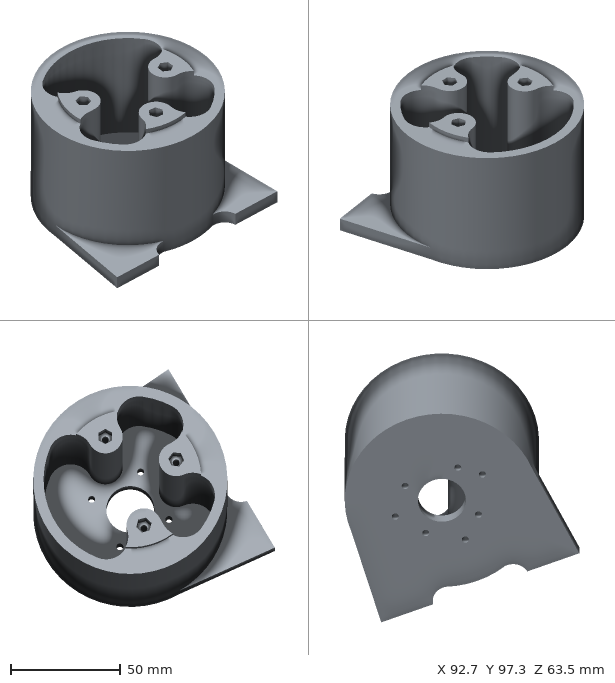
import cadquery as cq
import math

body_radius = 44.45
body_height = 60.96
flange_thickness = 6.35
flange_reach = 48.26
flange_flare_angle = 5.0

notch_width = 46.4
notch_inner_x = 41.91
notch_corner_radius = 7.4

cavity_radius = 39.7
cavity_round = 10.16
floor_thickness = 6.35

post_radius = 7.94
post_circle_radius = 22.86
post_rise = 2.54
post_cap_radius = 32.5
first_post_angle = 90.0
second_post_angle = -6.75
third_post_angle = -104.2
x_direction = 0.0
minus_y_direction = -90.0
posts = [
    (first_post_angle, first_post_angle, first_post_angle),
    (second_post_angle, second_post_angle, x_direction),
    (third_post_angle, third_post_angle, minus_y_direction),
]
screw_hole_diameter = 3.175
nut_corner_diameter = 7.25
nut_pocket_depth = 6.35

bore_diameter = 22.0
mount_hole_offset = 12.95
mount_hole_diameter = 3.175

overall_height = body_height + post_rise
tolerance = 0.01


def polar(radius, angle):
    """Point at a radius and an angle in degrees."""
    return (radius * math.cos(math.radians(angle)), radius * math.sin(math.radians(angle)))


def shifted(point, radius, angle):
    """Point moved by a distance along an angle in degrees."""
    dx, dy = polar(radius, angle)
    return (point[0] + dx, point[1] + dy)


def make_flange():
    """Flaring plate along one side of the body, with a round-cornered notch in its free edge."""
    half_width = body_radius + flange_reach * math.tan(math.radians(flange_flare_angle))
    plate = (
        cq.Workplane("XY")
        .polyline([
            (0, -body_radius),
            (flange_reach, -half_width),
            (flange_reach, half_width),
            (0, body_radius),
        ])
        .close()
        .extrude(flange_thickness)
    )
    notch_length = flange_reach - notch_inner_x + 2 * notch_corner_radius
    notch = (
        cq.Workplane("XY")
        .center(notch_inner_x + notch_length / 2, 0)
        .rect(notch_length, notch_width)
        .extrude(flange_thickness)
        .edges("|Z")
        .fillet(notch_corner_radius)
    )
    return plate.cut(notch)


def make_post(post_angle, clockwise_side, counterclockwise_side):
    """Round-nosed post whose two sides run outward past the cavity wall."""
    center = polar(post_circle_radius, post_angle)
    clockwise_start = shifted(center, post_radius, clockwise_side - 90)
    counterclockwise_start = shifted(center, post_radius, counterclockwise_side + 90)
    nose = shifted(center, post_radius, post_angle + 180)
    return (
        cq.Workplane("XY")
        .moveTo(*shifted(clockwise_start, cavity_radius, clockwise_side))
        .lineTo(*clockwise_start)
        .threePointArc(nose, counterclockwise_start)
        .lineTo(*shifted(counterclockwise_start, cavity_radius, counterclockwise_side))
        .close()
        .extrude(overall_height)
    )


def make_cavity():
    """Solid filling the cavity: a disc cut by the posts, with its corners at the wall rounded."""
    cavity = cq.Workplane("XY").circle(cavity_radius).extrude(overall_height)
    for post in posts:
        cavity = cavity.cut(make_post(*post))
    wall_corners = [
        edge for edge in cavity.edges("|Z").vals()
        if math.hypot(edge.Center().x, edge.Center().y) > cavity_radius - tolerance
    ]
    cavity = cavity.newObject(wall_corners).fillet(cavity_round)
    return cavity.translate((0, 0, floor_thickness))


def cut_post_hardware(part):
    """Screw hole through each post, with a hexagonal nut pocket in its top."""
    for post_angle, _, _ in posts:
        center = polar(post_circle_radius, post_angle)
        screw_hole = cq.Workplane("XY").circle(screw_hole_diameter / 2).extrude(overall_height)
        nut_pocket = (
            cq.Workplane("XY", origin=(0, 0, overall_height - nut_pocket_depth))
            .polygon(6, nut_corner_diameter)
            .extrude(nut_pocket_depth)
            .rotate((0, 0, 0), (0, 0, 1), post_angle + 90)
        )
        part = part.cut(screw_hole.union(nut_pocket).translate((*center, 0)))
    return part


def cut_floor_holes(part):
    """Central bore with four mounting holes around it."""
    spacing = 2 * mount_hole_offset
    holes = (
        cq.Workplane("XY")
        .circle(bore_diameter / 2)
        .rect(spacing, spacing, forConstruction=True)
        .vertices()
        .circle(mount_hole_diameter / 2)
        .extrude(floor_thickness)
    )
    return part.cut(holes)


body = cq.Workplane("XY").circle(body_radius).extrude(body_height)
post_caps = cq.Workplane("XY").circle(post_cap_radius).extrude(overall_height)
part = body.union(make_flange()).union(post_caps).cut(make_cavity())
part = cut_post_hardware(part)
result = cut_floor_holes(part)